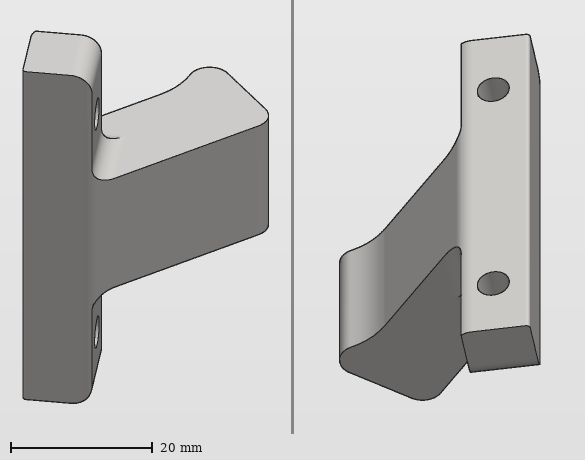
import cadquery as cq
import math

height = 57.15
depth = 38.05
arm_height = 19.0
arm_width = 13.8

hook_overhang = 2.35
hollow_radius = 11.2
round_radius = 3.0
tip_radius = 0.6

bar_side = 9.9
bar_angle = 40.0
tip_x = 7.45
hole_diameter = 4.6
hole_spacing = 38.0
hole_pair_drop = 0.6
hole_setback = 5.2

slope = math.radians(bar_angle)
face_direction = (math.cos(slope), -math.sin(slope))
normal_direction = (math.sin(slope), math.cos(slope))

tip_center_rise = tip_radius * (math.cos(slope) + math.sin(slope))
tip_y = tip_radius - tip_center_rise

clearance = 5.7
stock_side = 6 * clearance


def from_tip(along_face, along_normal):
    """XY point measured from the sharp tip along the bar's own axes."""
    x = tip_x + along_face * face_direction[0] + along_normal * normal_direction[0]
    y = tip_y + along_face * face_direction[1] + along_normal * normal_direction[1]
    return x, y


def make_outline():
    """Full-height prism of the plan outline, with rounded vertical corners."""
    hook_x = round_radius - hook_overhang
    hook_y = depth - round_radius
    center_distance = hollow_radius + round_radius
    hollow_y = hook_y - math.sqrt(center_distance**2 - (hook_x + hollow_radius) ** 2)
    swing = math.asin((hook_y - hollow_y) / center_distance)

    def on_hollow(angle):
        x = hollow_radius * (math.cos(angle) - 1)
        y = hollow_y + hollow_radius * math.sin(angle)
        return x, y

    def on_hook(angle):
        x = hook_x + round_radius * math.cos(angle)
        y = hook_y + round_radius * math.sin(angle)
        return x, y

    left_corner = (0, tip_y + tip_x * math.tan(slope))
    right_corner = (arm_width, tip_y + (arm_width - tip_x) / math.tan(slope))
    prism = (
        cq.Workplane("XY")
        .workplane(offset=-height / 2)
        .moveTo(tip_x, tip_y)
        .lineTo(*right_corner)
        .lineTo(arm_width, depth)
        .lineTo(hook_x, depth)
        .threePointArc(on_hook(math.pi), on_hook(math.pi + swing))
        .threePointArc(on_hollow(swing / 2), on_hollow(0))
        .lineTo(*left_corner)
        .close()
        .extrude(height)
    )

    def round_corner(body, corner, radius):
        edge = cq.selectors.NearestToPointSelector((corner[0], corner[1], 0))
        return body.edges("|Z").edges(edge).fillet(radius)

    for corner in (left_corner, right_corner, (arm_width, depth)):
        prism = round_corner(prism, corner, round_radius)
    return round_corner(prism, (tip_x, tip_y), tip_radius)


def make_bar_stock():
    """Oversized bar with exact back faces and rounded ends on the rear face."""
    back_plane = cq.Plane(
        origin=(*from_tip(-bar_side, bar_side), 0),
        xDir=(*face_direction, 0),
        normal=(0, 0, 1),
    )
    stock = cq.Workplane(back_plane).box(stock_side, stock_side, height, centered=(False, False, True))
    stock = stock.translate(tuple(-stock_side * n for n in (*normal_direction, 0)))
    rear_middle = from_tip(-bar_side + stock_side / 2, bar_side)
    for z in (-height / 2, height / 2):
        stock = stock.edges(cq.selectors.NearestToPointSelector((*rear_middle, z))).fillet(round_radius)
    return stock


def make_arm_stock():
    """Oversized arm slab."""
    return (
        cq.Workplane("XY")
        .box(arm_width + 2 * clearance, depth, arm_height, centered=(False, False, True))
        .translate((-clearance, 0, 0))
    )


def blend_arm_to_bar(body):
    """Concave fillets where the arm meets the two back faces of the bar."""
    reach = bar_side / 10
    back_points = (from_tip(-bar_side + reach, bar_side), from_tip(-bar_side, bar_side - reach))
    edges = []
    for z in (-arm_height / 2, arm_height / 2):
        for x, y in back_points:
            spot = cq.Vertex.makeVertex(x, y, z)
            edges.append(min(body.edges().vals(), key=lambda edge: edge.distance(spot)))
    return body.newObject(edges).fillet(round_radius)


def make_holes():
    """Through holes square to the mounting face."""
    plane = cq.Plane(
        origin=(*from_tip(-hole_setback, 0), -hole_pair_drop),
        xDir=(*face_direction, 0),
        normal=(*normal_direction, 0),
    )
    return (
        cq.Workplane(plane)
        .rarray(0.6, hole_spacing, 1, 2)
        .circle(hole_diameter / 2)
        .extrude(2 * bar_side, both=True)
    )


stock = blend_arm_to_bar(make_bar_stock().union(make_arm_stock()))
result = stock.intersect(make_outline()).cut(make_holes())